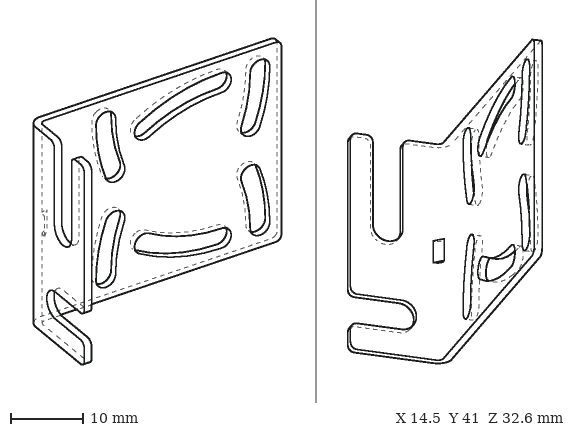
import cadquery as cq
import math

width = 14.5
depth = 41.0
height = 32.6
thickness = 1.2
outer_bend_radius = 2.0
inner_bend_radius = outer_bend_radius - thickness
corner_radius = 1.0

arc_slot_width = 3.2
arc_radius = 25.38
pattern_y = 24.75
half_pattern = arc_radius / 2
side_sweep = 20.0
cross_sweep = 30.0

open_slot_width = 4.4
top_slot_x = 9.0
top_slot_end_z = height - 13.4
edge_slot_z = 6.15
edge_slot_end_x = 7.05

gusset_leg = 1.2
gusset_height = 3.3


def bent_sheet():
    """L-shaped sheet with a rounded bend and rounded free corners."""
    sheet = (
        cq.Workplane("XY")
        .polyline([
            (0, 0), (width, 0), (width, thickness),
            (thickness, thickness), (thickness, depth), (0, depth),
        ])
        .close()
        .extrude(height)
    )
    sheet = sheet.edges(cq.selectors.NearestToPointSelector((0, 0, height / 2))).fillet(outer_bend_radius)
    inner_edge = cq.selectors.NearestToPointSelector((thickness, thickness, height / 2))
    sheet = sheet.edges(inner_edge).fillet(inner_bend_radius)
    return sheet.edges("(|X and >Y) or (|Y and >X)").fillet(corner_radius)


def arc_slot(center_y, center_z, start_angle, sweep):
    """Cutter for a round-ended slot following a circle in the YZ plane."""
    def point(radius, angle):
        turn = math.radians(angle)
        return center_y + radius * math.cos(turn), center_z + radius * math.sin(turn)

    middle = start_angle + sweep / 2
    end = start_angle + sweep
    inner = arc_radius - arc_slot_width / 2
    outer = arc_radius + arc_slot_width / 2
    band = (
        cq.Workplane("YZ")
        .moveTo(*point(inner, start_angle))
        .threePointArc(point(inner, middle), point(inner, end))
        .lineTo(*point(outer, end))
        .threePointArc(point(outer, middle), point(outer, start_angle))
        .close()
        .extrude(thickness)
    )
    ends = (
        cq.Workplane("YZ")
        .pushPoints([point(arc_radius, start_angle), point(arc_radius, end)])
        .circle(arc_slot_width / 2)
        .extrude(thickness)
    )
    return band.union(ends)


def cut_arc_slots(body):
    """Four side slots and two cross slots, mirrored about mid-height."""
    for vertical in (1, -1):
        slot_z = height / 2 + vertical * half_pattern
        body = body.cut(arc_slot(pattern_y - half_pattern, slot_z, 0, -vertical * side_sweep))
        body = body.cut(arc_slot(pattern_y + half_pattern, slot_z, 180, vertical * side_sweep))
        cross_y = pattern_y + half_pattern / 2
        cross_z = height / 2 - vertical * half_pattern
        body = body.cut(arc_slot(cross_y, cross_z, vertical * 90, vertical * cross_sweep))
    return body


def open_slot(end_x, end_z, length, direction):
    """Cutter for a flange slot from its round end out through an edge."""
    return (
        cq.Workplane("XZ", origin=(end_x, 0, end_z))
        .transformed(rotate=(0, 0, direction))
        .center(length / 2, 0)
        .slot2D(length + open_slot_width, open_slot_width)
        .extrude(-thickness)
    )


def cut_open_slots(body):
    """Slots open at the top and free side, with rounded mouths."""
    overrun = open_slot_width
    top_length = height - top_slot_end_z + overrun
    edge_length = width - edge_slot_end_x + overrun
    body = body.cut(open_slot(top_slot_x, top_slot_end_z, top_length, 90))
    body = body.cut(open_slot(edge_slot_end_x, edge_slot_z, edge_length, 0))
    for side in (-1, 1):
        offset = side * open_slot_width / 2
        for mouth in ((top_slot_x + offset, height), (width, edge_slot_z + offset)):
            edge_middle = (mouth[0], thickness / 2, mouth[1])
            corner = cq.selectors.NearestToPointSelector(edge_middle)
            body = body.edges(corner).fillet(corner_radius)
    return body


def bend_gusset():
    """Small triangular web bridging the inside of the bend."""
    reach = thickness + gusset_leg
    root = outer_bend_radius / 2
    return (
        cq.Workplane("XY", origin=(0, 0, (height - gusset_height) / 2))
        .polyline([(root, root), (reach, root), (reach, thickness), (thickness, reach), (root, reach)])
        .close()
        .extrude(gusset_height)
    )


result = cut_open_slots(cut_arc_slots(bent_sheet())).union(bend_gusset())